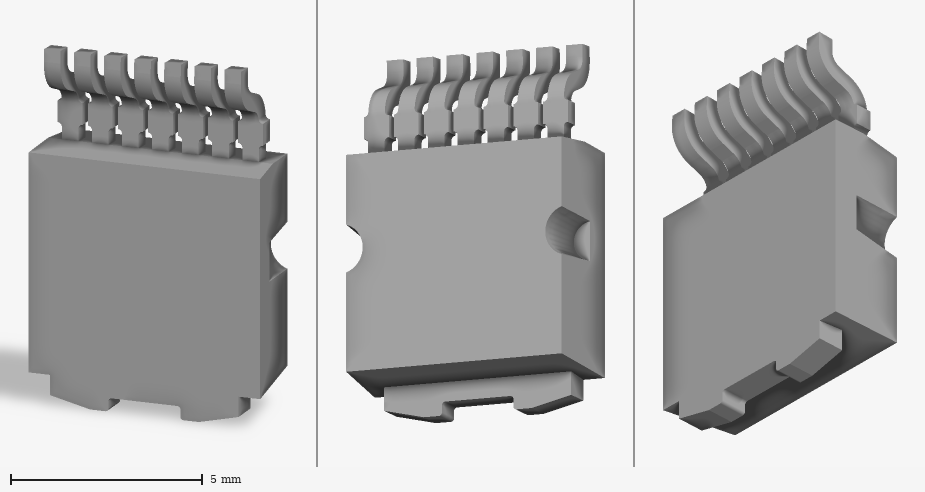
import cadquery as cq
import math

TOTAL_HEIGHT = 9.7

HOUSING_WIDTH = 6.5
HOUSING_DEPTH = 2.41
HOUSING_FRONT_BOTTOM = 0.81
HOUSING_BACK_BOTTOM = 1.03
HOUSING_SHOULDER = 6.8
HOUSING_RIDGE = 6.9
RIDGE_Y = 1.12
DRAFT_INSET = 0.2

TAB_WIDTH = 5.29
TAB_THICKNESS = 0.81
TAB_TOP = 5.14
TAB_SHOULDER = 0.26
TAB_FOOT_X = 1.52
TAB_CORNER_RADIUS = 0.09
FOOT_RECESS_WIDTH = 2.02
FOOT_RECESS_HEIGHT = 0.37
LOCK_Z = 1.17
LOCK_SLOT_LENGTH = 2.16
LOCK_SLOT_HEIGHT = 0.51
NICK_HEIGHT = 0.18
NICK_DEPTH = 0.092
NICK_RADIUS = 0.04

NOTCH_Z = 4.31
NOTCH_FLOOR_RADIUS = 0.53
NOTCH_DEPTH = HOUSING_DEPTH - TAB_THICKNESS
NOTCH_RIM_RADIUS = NOTCH_FLOOR_RADIUS + NOTCH_DEPTH * DRAFT_INSET / HOUSING_DEPTH

LEAD_COUNT = 7
LEAD_PITCH = 0.84
LEAD_WIDTH = 0.47
LEAD_WIDE_WIDTH = 0.7
LEAD_THICKNESS = 0.485
LEAD_BASE = HOUSING_SHOULDER
LEAD_WIDE_BOTTOM = 7.35
LEAD_WIDE_TOP = 7.94
LEAD_OVERHANG = 0.15
BEND_INNER_RADIUS = 0.41
BEND_OUTER_RADIUS = BEND_INNER_RADIUS + LEAD_THICKNESS
BEND_ANGLE = 70.0
TIP_LEAN = 3.0

SELECT_MARGIN = 0.1


def polar(center, radius, degrees):
    """Point at a radius and angle around a centre."""
    angle = math.radians(degrees)
    return (center[0] + radius * math.cos(angle), center[1] + radius * math.sin(angle))


def make_tab():
    half_width = TAB_WIDTH / 2
    half_recess = FOOT_RECESS_WIDTH / 2
    right_half = [
        (half_recess, FOOT_RECESS_HEIGHT),
        (half_recess, 0),
        (TAB_FOOT_X, 0),
        (half_width, TAB_SHOULDER),
        (half_width, TAB_TOP),
    ]
    left_half = [(-x, z) for x, z in reversed(right_half)]
    tab = cq.Workplane("XZ").polyline(right_half + left_half).close().extrude(-TAB_THICKNESS)

    front = -SELECT_MARGIN
    back = TAB_THICKNESS + SELECT_MARGIN
    recess_reach = half_recess + SELECT_MARGIN
    top_corners = cq.selectors.BoxSelector(
        (-TAB_WIDTH, front, TAB_TOP - SELECT_MARGIN),
        (TAB_WIDTH, back, TAB_TOP + SELECT_MARGIN),
    )
    recess_corners = cq.selectors.BoxSelector(
        (-recess_reach, front, -SELECT_MARGIN),
        (recess_reach, back, FOOT_RECESS_HEIGHT + SELECT_MARGIN),
    )
    tab = tab.edges("|Y").edges(top_corners + recess_corners).fillet(TAB_CORNER_RADIUS)

    lock_slot = (
        cq.Workplane("XZ")
        .center(0, LOCK_Z)
        .slot2D(LOCK_SLOT_LENGTH, LOCK_SLOT_HEIGHT)
        .extrude(-TAB_THICKNESS)
    )
    side_nicks = (
        cq.Workplane("XZ")
        .pushPoints([(-half_width, LOCK_Z), (half_width, LOCK_Z)])
        .rect(2 * NICK_DEPTH, NICK_HEIGHT)
        .extrude(-TAB_THICKNESS)
        .edges("|Y")
        .fillet(NICK_RADIUS)
    )
    return tab.cut(lock_slot).cut(side_nicks)


def lead_side_profile():
    """S-bent strip seen along X, as a slab across the full lead width."""
    back_y = RIDGE_Y + LEAD_THICKNESS
    first = (RIDGE_Y - BEND_INNER_RADIUS, LEAD_WIDE_TOP)

    second_y = BEND_OUTER_RADIUS - LEAD_OVERHANG
    across = polar(first, BEND_INNER_RADIUS + BEND_OUTER_RADIUS, BEND_ANGLE)
    run_rise = (across[0] - second_y) / math.tan(math.radians(BEND_ANGLE))
    second = (second_y, across[1] + run_rise)

    first_mid = BEND_ANGLE / 2
    second_start = 180 + BEND_ANGLE
    second_end = 180 - TIP_LEAN
    second_mid = (second_start + second_end) / 2

    front_end = polar(second, BEND_OUTER_RADIUS, second_end)
    back_end = polar(second, BEND_INNER_RADIUS, second_end)
    tip_length = (TOTAL_HEIGHT - front_end[1]) / math.cos(math.radians(TIP_LEAN))
    front_tip = polar(front_end, tip_length, 90 - TIP_LEAN)
    back_tip = polar(back_end, tip_length, 90 - TIP_LEAN)

    return (
        cq.Workplane("YZ")
        .moveTo(RIDGE_Y, LEAD_BASE)
        .lineTo(RIDGE_Y, LEAD_WIDE_TOP)
        .threePointArc(polar(first, BEND_INNER_RADIUS, first_mid),
                       polar(first, BEND_INNER_RADIUS, BEND_ANGLE))
        .lineTo(*polar(second, BEND_OUTER_RADIUS, second_start))
        .threePointArc(polar(second, BEND_OUTER_RADIUS, second_mid), front_end)
        .lineTo(*front_tip)
        .lineTo(*back_tip)
        .lineTo(*back_end)
        .threePointArc(polar(second, BEND_INNER_RADIUS, second_mid),
                       polar(second, BEND_INNER_RADIUS, second_start))
        .lineTo(*polar(first, BEND_OUTER_RADIUS, BEND_ANGLE))
        .threePointArc(polar(first, BEND_OUTER_RADIUS, first_mid), (back_y, LEAD_WIDE_TOP))
        .lineTo(back_y, LEAD_BASE)
        .close()
        .extrude(LEAD_WIDE_WIDTH / 2, both=True)
    )


def lead_front_outline():
    """Narrow strip with a wide section, joined by concave quarter rounds, seen along Y."""
    narrow = LEAD_WIDTH / 2
    wide = LEAD_WIDE_WIDTH / 2
    radius = wide - narrow
    low_round = LEAD_WIDE_BOTTOM - radius
    high_round = LEAD_WIDE_TOP + radius
    return (
        cq.Workplane("XZ")
        .moveTo(-narrow, LEAD_BASE)
        .lineTo(narrow, LEAD_BASE)
        .lineTo(narrow, low_round)
        .threePointArc(polar((wide, low_round), radius, 135), (wide, LEAD_WIDE_BOTTOM))
        .lineTo(wide, LEAD_WIDE_TOP)
        .threePointArc(polar((wide, high_round), radius, 225), (narrow, high_round))
        .lineTo(narrow, TOTAL_HEIGHT)
        .lineTo(-narrow, TOTAL_HEIGHT)
        .lineTo(-narrow, high_round)
        .threePointArc(polar((-wide, high_round), radius, 315), (-wide, LEAD_WIDE_TOP))
        .lineTo(-wide, LEAD_WIDE_BOTTOM)
        .threePointArc(polar((-wide, low_round), radius, 45), (-narrow, low_round))
        .close()
        .extrude(HOUSING_DEPTH, both=True)
    )


def make_lead(x):
    return lead_side_profile().intersect(lead_front_outline()).translate((x, 0, 0))


def make_grip_notch(side):
    """Cone on the given side (-1 or +1), its axis level with the front side edge."""
    cone = cq.Solid.makeCone(
        NOTCH_FLOOR_RADIUS,
        NOTCH_RIM_RADIUS,
        NOTCH_DEPTH,
        pnt=cq.Vector(side * HOUSING_WIDTH / 2, TAB_THICKNESS, NOTCH_Z),
        dir=cq.Vector(0, 1, 0),
    )
    return cq.Workplane(obj=cone)


def make_housing(tab, leads):
    side_profile = [
        (0, HOUSING_FRONT_BOTTOM),
        (0, HOUSING_SHOULDER),
        (RIDGE_Y, HOUSING_RIDGE),
        (HOUSING_DEPTH, HOUSING_SHOULDER),
        (HOUSING_DEPTH, HOUSING_BACK_BOTTOM),
    ]
    block = cq.Workplane("YZ").polyline(side_profile).close().extrude(HOUSING_WIDTH / 2, both=True)

    front_half = HOUSING_WIDTH / 2
    back_half = front_half - DRAFT_INSET
    plan = [
        (-front_half, 0),
        (front_half, 0),
        (back_half, HOUSING_DEPTH),
        (-back_half, HOUSING_DEPTH),
    ]
    tapered_plan = cq.Workplane("XY").polyline(plan).close().extrude(HOUSING_RIDGE)
    housing = block.intersect(tapered_plan)

    for side in (-1, 1):
        housing = housing.cut(make_grip_notch(side))

    housing = housing.cut(tab)
    for lead in leads:
        housing = housing.cut(lead)
    return housing


tab = make_tab()
leads = [make_lead((i - (LEAD_COUNT - 1) / 2) * LEAD_PITCH) for i in range(LEAD_COUNT)]
housing = make_housing(tab, leads)

result = cq.Compound.makeCompound([
    housing.solids().val(),
    tab.solids().val(),
    *[lead.solids().val() for lead in leads],
])